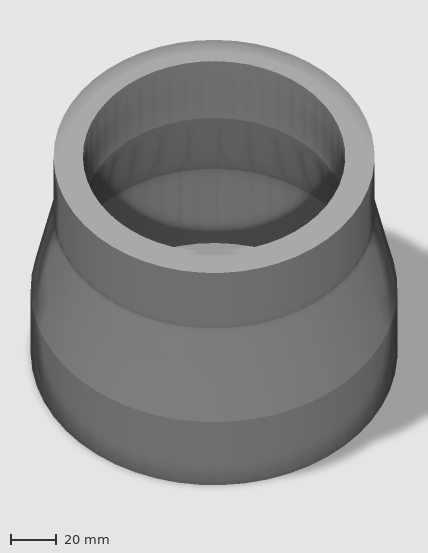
import cadquery as cq

total_height = 124.0
large_spigot_height = 40.0
small_spigot_height = 35.0
small_spigot_base = total_height - small_spigot_height

large_outer_radius = 160.0 / 2
small_outer_radius = 140.0 / 2
large_bore_radius = 130.9 / 2
small_bore_radius = 114.4 / 2

bore_taper_bottom = 47.2
bore_taper_top = 88.0

half_section = [
    (large_bore_radius, 0),
    (large_outer_radius, 0),
    (large_outer_radius, large_spigot_height),
    (small_outer_radius, small_spigot_base),
    (small_outer_radius, total_height),
    (small_bore_radius, total_height),
    (small_bore_radius, bore_taper_top),
    (large_bore_radius, bore_taper_bottom),
]

result = (
    cq.Workplane("XZ")
    .polyline(half_section)
    .close()
    .revolve(360, (0, 0, 0), (0, 1, 0))
)